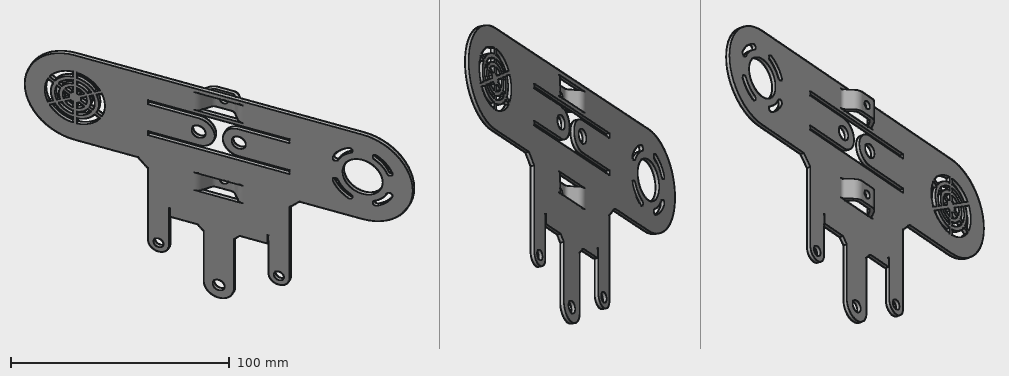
import cadquery as cq
import math

sheet_thickness = 2.0
overall_length = 193.42
overall_height = 119.92

bar_height = 50.0
bar_radius = bar_height / 2
end_center_x = overall_length / 2 - bar_radius

side_leg_x = 30.0
side_leg_width = 10.5
side_leg_end_z = -72.2
side_leg_hole_diameter = 5.0
body_half_width = side_leg_x + side_leg_width / 2
body_bottom_z = -55.0
body_flare = 5.0

slit_width = 0.6
slit_height = 5.0

middle_leg_width = 15.0
middle_leg_end_z = bar_radius - overall_height + middle_leg_width / 2
middle_leg_hole_diameter = 6.0
middle_leg_flare = 3.0

tab_center_x = 10.0
tab_radius = 8.0
tab_hole_diameter = 7.0
tab_gap = 2.25
window_half_height = tab_radius + tab_gap

grille_rings = ((3.0, 6.0), (8.0, 9.9), (12.0, 15.0))
grille_bar_count = 3
grille_bar_width = 1.8

opening_diameter = 20.0
curved_slot_count = 4
curved_slot_radius = 15.0
curved_slot_width = 2.8
curved_slot_half_angle = 19.5

strap_centers_z = (17.5, -30.0)
strap_width = 10.4
strap_depth = 8.0
strap_half_length = 12.1
strap_flat_half_length = 3.8
strap_slope_angle = 50.0
root_bend_radius = 2.25
crown_bend_radius = 2.75
strap_hole_diameter = 4.0


def front_plane(x=0.0, z=0.0):
    """Sketch plane on the front face: local x is X, local y is Z."""
    return cq.Workplane("XZ", origin=(x, 0, z))


def through_sheet(sketch):
    """Extrude a closed front-face sketch through the sheet thickness, towards +Y."""
    return sketch.extrude(-sheet_thickness)


def block(x_start, x_end, z_start, z_end):
    """Rectangular block as thick as the sheet."""
    sketch = front_plane((x_start + x_end) / 2, (z_start + z_end) / 2)
    return through_sheet(sketch.rect(abs(x_end - x_start), abs(z_end - z_start)))


def disc(x, z, diameter):
    """Round block as thick as the sheet."""
    return through_sheet(front_plane(x, z).circle(diameter / 2))


def flared_block(half_width, flare, z_top, z_bottom):
    """Block centred on X = 0 whose top widens at 45 degrees to meet the sheet above."""
    outline = [
        (half_width + flare, z_top),
        (half_width, z_top - flare),
        (half_width, z_bottom),
        (-half_width, z_bottom),
        (-half_width, z_top - flare),
        (-half_width - flare, z_top),
    ]
    return through_sheet(front_plane().polyline(outline).close())


def make_bar_and_body():
    bar = through_sheet(front_plane().slot2D(overall_length, bar_height))
    return bar.union(flared_block(body_half_width, body_flare, -bar_radius, body_bottom_z))


def add_middle_leg(plate):
    leg = flared_block(middle_leg_width / 2, middle_leg_flare, body_bottom_z, middle_leg_end_z)
    leg = leg.union(disc(0, middle_leg_end_z, middle_leg_width))
    leg = leg.cut(disc(0, middle_leg_end_z, middle_leg_hole_diameter))
    return plate.union(leg)


def add_side_leg(plate, side):
    """Leg with a rounded end, and the slit running up along its inner edge."""
    x = side * side_leg_x
    inner_x = x - side * side_leg_width / 2
    leg = block(inner_x, side * body_half_width, body_bottom_z, side_leg_end_z)
    leg = leg.union(disc(x, side_leg_end_z, side_leg_width))
    leg = leg.cut(disc(x, side_leg_end_z, side_leg_hole_diameter))
    slit = block(inner_x, inner_x - side * slit_width, body_bottom_z, body_bottom_z + slit_height)
    return plate.union(leg).cut(slit)


def cut_tab_window(plate):
    """Window that leaves two round-ended tabs pointing at each other."""
    window = block(-body_half_width, body_half_width, -window_half_height, window_half_height)
    for side in (-1, 1):
        x = side * tab_center_x
        tab = block(x, side * body_half_width, -tab_radius, tab_radius)
        tab = tab.union(disc(x, 0, 2 * tab_radius))
        window = window.cut(tab.cut(disc(x, 0, tab_hole_diameter)))
    return plate.cut(window)


def cut_speaker_grille(plate):
    """Concentric rings of openings, interrupted by bars across the centre."""
    bars = front_plane()
    largest_radius = max(outer for inner, outer in grille_rings)
    bar_length = 2 * (largest_radius + grille_bar_width)
    for index in range(grille_bar_count):
        angle = 90 + index * 180 / grille_bar_count
        sketch = front_plane(-end_center_x).transformed(rotate=(0, 0, angle))
        bars = bars.union(through_sheet(sketch.rect(bar_length, grille_bar_width)))
    for inner_radius, outer_radius in grille_rings:
        ring = through_sheet(front_plane(-end_center_x).circle(outer_radius).circle(inner_radius))
        plate = plate.cut(ring.cut(bars))
    return plate


def polar(radius, angle):
    """Point at a radius and an angle in degrees."""
    return (radius * math.cos(math.radians(angle)), radius * math.sin(math.radians(angle)))


def curved_slot(middle_angle):
    """Round-ended slot following an arc about the centre of the +X end."""
    inner = curved_slot_radius - curved_slot_width / 2
    outer = curved_slot_radius + curved_slot_width / 2
    start = middle_angle - curved_slot_half_angle
    end = middle_angle + curved_slot_half_angle
    tip_angle = curved_slot_half_angle + math.degrees(curved_slot_width / 2 / curved_slot_radius)
    sketch = (
        front_plane(end_center_x)
        .moveTo(*polar(outer, start))
        .threePointArc(polar(outer, middle_angle), polar(outer, end))
        .threePointArc(polar(curved_slot_radius, middle_angle + tip_angle), polar(inner, end))
        .threePointArc(polar(inner, middle_angle), polar(inner, start))
        .threePointArc(polar(curved_slot_radius, middle_angle - tip_angle), polar(outer, start))
        .close()
    )
    return through_sheet(sketch)


def cut_round_opening(plate):
    plate = plate.cut(disc(end_center_x, 0, opening_diameter))
    pitch = 360 / curved_slot_count
    for index in range(curved_slot_count):
        plate = plate.cut(curved_slot((index + 0.5) * pitch))
    return plate


def root_point(radius, angle, side):
    """Point on the bend where the strap leaves the sheet, in X and Y."""
    x = strap_half_length - radius * math.sin(math.radians(angle))
    y = sheet_thickness + root_bend_radius - radius * math.cos(math.radians(angle))
    return (side * x, y)


def crown_point(radius, angle, side):
    """Point on the bend between the strap's slope and its flat crown, in X and Y."""
    x = strap_flat_half_length + radius * math.sin(math.radians(angle))
    y = strap_depth - sheet_thickness - crown_bend_radius + radius * math.cos(math.radians(angle))
    return (side * x, y)


def make_strap(center_z):
    """Bent strip: root bend, slope, crown bend and flat crown, mirrored about X = 0."""
    root_front = root_bend_radius + sheet_thickness
    crown_back = crown_bend_radius + sheet_thickness
    full = strap_slope_angle
    half = strap_slope_angle / 2
    profile = (
        cq.Workplane("XY", origin=(0, 0, center_z - strap_width / 2))
        .moveTo(*root_point(root_front, 0, -1))
        .threePointArc(root_point(root_front, half, -1), root_point(root_front, full, -1))
        .lineTo(*crown_point(crown_bend_radius, full, -1))
        .threePointArc(crown_point(crown_bend_radius, half, -1), crown_point(crown_bend_radius, 0, -1))
        .lineTo(*crown_point(crown_bend_radius, 0, 1))
        .threePointArc(crown_point(crown_bend_radius, half, 1), crown_point(crown_bend_radius, full, 1))
        .lineTo(*root_point(root_front, full, 1))
        .threePointArc(root_point(root_front, half, 1), root_point(root_front, 0, 1))
        .lineTo(*root_point(root_bend_radius, 0, 1))
        .threePointArc(root_point(root_bend_radius, half, 1), root_point(root_bend_radius, full, 1))
        .lineTo(*crown_point(crown_back, full, 1))
        .threePointArc(crown_point(crown_back, half, 1), crown_point(crown_back, 0, 1))
        .lineTo(*crown_point(crown_back, 0, -1))
        .threePointArc(crown_point(crown_back, half, -1), crown_point(crown_back, full, -1))
        .lineTo(*root_point(root_bend_radius, full, -1))
        .threePointArc(root_point(root_bend_radius, half, -1), root_point(root_bend_radius, 0, -1))
        .close()
    )
    hole = front_plane(0, center_z).circle(strap_hole_diameter / 2).extrude(-strap_depth)
    return profile.extrude(strap_width).cut(hole)


def add_strap(plate, center_z):
    """Replace a rectangle of the sheet by the raised strap formed from it."""
    z_bottom = center_z - strap_width / 2
    z_top = center_z + strap_width / 2
    plate = plate.cut(block(-strap_half_length, strap_half_length, z_bottom, z_top))
    return plate.union(make_strap(center_z))


part = make_bar_and_body()
part = add_middle_leg(part)
for leg_side in (-1, 1):
    part = add_side_leg(part, leg_side)
part = cut_tab_window(part)
part = cut_speaker_grille(part)
part = cut_round_opening(part)
for strap_z in strap_centers_z:
    part = add_strap(part, strap_z)

result = part